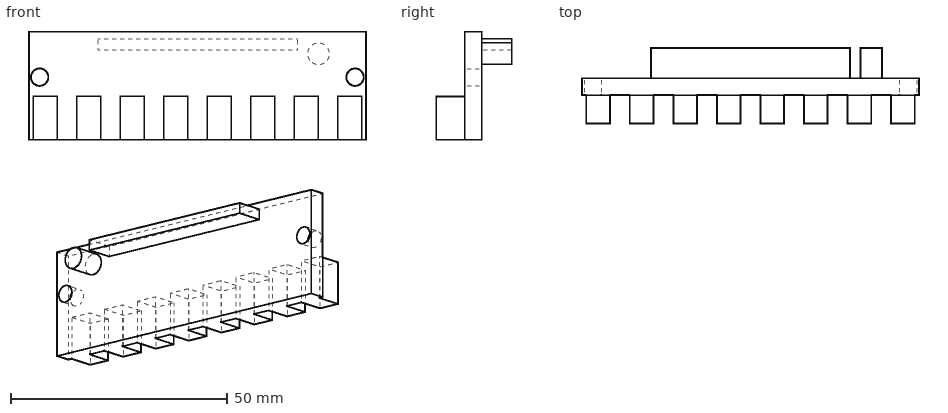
import cadquery as cq

plate_length = 78.0
plate_thickness = 4.0
plate_height = 25.0

block_count = 8
block_width = 5.5
block_depth = 6.55
block_height = 10.1
block_pitch = 10.1
first_block_x = 1.0

hole_diameter = 4.0
hole_z = 14.5
hole_xs = (2.5, 75.4)

back_depth = 6.95
bar_start_x = 16.0
bar_length = 46.0
bar_height = 2.5
bar_top_gap = 1.6
pin_diameter = 5.0
pin_x = 66.9
pin_z = 20.0


def corner_box(length, depth, height, corner):
    """Box grown in +X, +Y and +Z from its lowest corner."""
    return cq.Workplane("XY").box(length, depth, height, centered=False).translate(corner)


def cylinder_along_y(diameter, start_y, length, x, z):
    """Cylinder running in +Y from start_y."""
    return cq.Workplane("XY").add(
        cq.Solid.makeCylinder(diameter / 2, length, cq.Vector(x, start_y, z), cq.Vector(0, 1, 0))
    )


result = corner_box(plate_length, plate_thickness, plate_height, (0, 0, 0))

for hole_x in hole_xs:
    result = result.cut(cylinder_along_y(hole_diameter, 0, plate_thickness, hole_x, hole_z))

for index in range(block_count):
    block_x = first_block_x + index * block_pitch
    result = result.union(
        corner_box(block_width, block_depth, block_height, (block_x, -block_depth, 0))
    )

bar_z = plate_height - bar_top_gap - bar_height
result = result.union(
    corner_box(bar_length, back_depth, bar_height, (bar_start_x, plate_thickness, bar_z))
)
result = result.union(
    cylinder_along_y(pin_diameter, plate_thickness, back_depth, pin_x, pin_z)
)